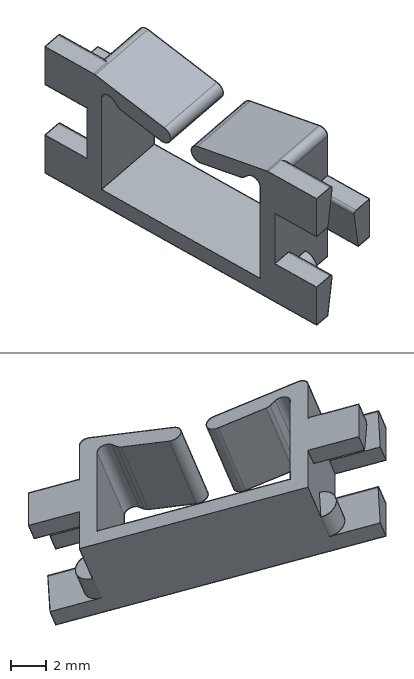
import cadquery as cq
import math

length = 19.9
depth = 4.8
half_length = length / 2
front_y = -depth / 2
back_y = depth / 2

wall_outer_x = 6.89
wall_inner_x = 5.81
floor_thickness = 1.2
shoulder_radius = 0.5
shoulder_center_z = 9.51

arm_slope = math.radians(12.6)
tip_radius = 0.6
tip_center_x = 1.35
relief_radius = 0.52
relief_center_z = 8.44
relief_end_angle = math.radians(45)
relief_blend_radius = 0.5

tab_height = 3.0
tab_top_depth = 1.43
tab_bottom_depth = 1.01
tab_edge_radius = 0.2
front_tab_levels = (0.0, 7.0)
back_tab_level = 3.4

boss_radius = 0.98
boss_length = 1.5

draft_per_height = (tab_top_depth - tab_bottom_depth) / tab_height


def make_half_body():
    """Left half of the floor, its wall and its sloping arm."""
    sin_a = math.sin(arm_slope)
    cos_a = math.cos(arm_slope)
    shoulder_x = -wall_outer_x + shoulder_radius
    slope_start = (shoulder_x + shoulder_radius * sin_a, shoulder_center_z + shoulder_radius * cos_a)
    mid_angle = (math.pi + math.pi / 2 - arm_slope) / 2
    shoulder_mid = (
        shoulder_x + shoulder_radius * math.cos(mid_angle),
        shoulder_center_z + shoulder_radius * math.sin(mid_angle),
    )

    tip_x = -tip_center_x
    slope_end_x = tip_x + tip_radius * sin_a
    slope_end_z = slope_start[1] - (slope_end_x - slope_start[0]) * math.tan(arm_slope)
    tip_z = slope_end_z - tip_radius * cos_a
    tip_end = (tip_x + tip_radius * cos_a, tip_z - tip_radius * sin_a)
    under_start = (tip_x - tip_radius * sin_a, tip_z - tip_radius * cos_a)

    relief_x = -wall_inner_x + relief_radius
    relief_end = (
        relief_x + relief_radius * math.cos(relief_end_angle),
        relief_center_z + relief_radius * math.sin(relief_end_angle),
    )
    relief_slope = 1 / math.tan(relief_end_angle)
    under_slope = math.tan(arm_slope)
    corner_x = (
        relief_end[1] - under_start[1] + relief_slope * relief_end[0] - under_slope * under_start[0]
    ) / (relief_slope - under_slope)
    corner_z = relief_end[1] - relief_slope * (corner_x - relief_end[0])

    body = (
        cq.Workplane("XZ", origin=(0, back_y, 0))
        .moveTo(0, 0)
        .lineTo(-wall_outer_x, 0)
        .lineTo(-wall_outer_x, shoulder_center_z)
        .threePointArc(shoulder_mid, slope_start)
        .lineTo(slope_end_x, slope_end_z)
        .threePointArc(tip_end, under_start)
        .lineTo(corner_x, corner_z)
        .lineTo(*relief_end)
        .threePointArc((relief_x, relief_center_z + relief_radius), (-wall_inner_x, relief_center_z))
        .lineTo(-wall_inner_x, floor_thickness)
        .lineTo(0, floor_thickness)
        .close()
        .extrude(depth)
    )
    corner_edge = cq.selectors.NearestToPointSelector((corner_x, 0, corner_z))
    return body.edges(corner_edge).fillet(relief_blend_radius)


def make_tab(level, outer_y, inward, root_x):
    """Tab from the left end to root_x; inward is the Y direction of its drafted face."""
    top_z = level + tab_height
    tab = (
        cq.Workplane("YZ", origin=(-half_length, 0, 0))
        .moveTo(outer_y, level)
        .lineTo(outer_y + inward * tab_bottom_depth, level)
        .lineTo(outer_y + inward * tab_top_depth, top_z)
        .lineTo(outer_y, top_z)
        .close()
        .extrude(half_length + root_x)
    )
    rounded_edge = cq.selectors.NearestToPointSelector(
        ((root_x - half_length) / 2, outer_y + inward * tab_top_depth, top_z)
    )
    return tab.edges(rounded_edge).fillet(tab_edge_radius)


def make_boss():
    """Half-round boss on the wall, its end parallel to the drafted tab face."""
    boss_height = 2 * boss_radius
    bottom_end_y = front_y + tab_bottom_depth + boss_length
    top_end_y = bottom_end_y + draft_per_height * boss_height
    cylinder = (
        cq.Workplane("XZ", origin=(-wall_outer_x, front_y, boss_radius))
        .circle(boss_radius)
        .extrude(-depth)
    )
    start_y = front_y + tab_bottom_depth / 2
    envelope = (
        cq.Workplane("YZ", origin=(-wall_outer_x - boss_radius, 0, 0))
        .moveTo(start_y, 0)
        .lineTo(bottom_end_y, 0)
        .lineTo(top_end_y, boss_height)
        .lineTo(start_y, boss_height)
        .close()
        .extrude(boss_radius + (wall_outer_x - wall_inner_x) / 2)
    )
    return cylinder.intersect(envelope)


half_clip = make_half_body()
tab_root_x = -wall_outer_x + shoulder_radius
for tab_level in front_tab_levels:
    half_clip = half_clip.union(make_tab(tab_level, front_y, 1, tab_root_x))
half_clip = half_clip.union(make_tab(back_tab_level, back_y, -1, tab_root_x))
half_clip = half_clip.union(make_boss())

result = half_clip.union(half_clip.mirror("YZ"))